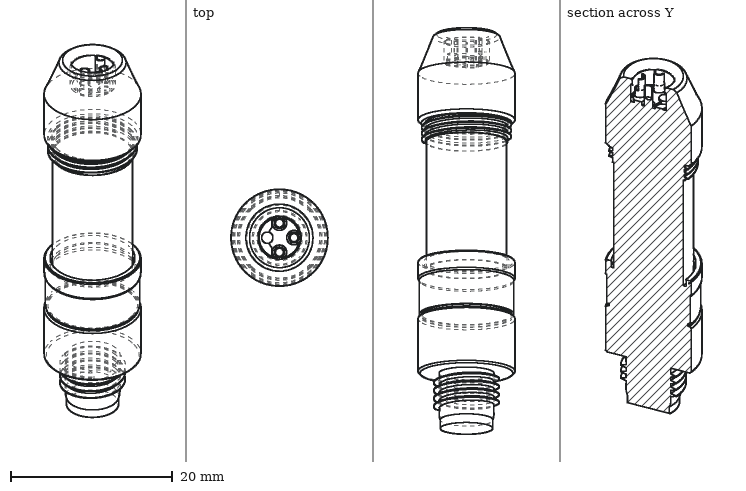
import cadquery as cq

TOTAL_HEIGHT = 50.0
BODY_RADIUS = 6.0
SHAFT_RADIUS = 4.95

TIP_RADIUS = 3.25
TIP_HEIGHT = 1.1
TAPER_MIDDLE_RADIUS = 3.35
TAPER_MIDDLE_Z = 1.4
TAPER_TOP_Z = 1.75
PLUG_RADIUS = 3.4

SLEEVE_BOTTOM_Z = 7.0
SLEEVE_TOP_Z = 14.2
SLEEVE_CHAMFER = 0.25

GROOVE_RADIUS = 5.55
COLLAR_RADIUS = 5.85
COLLAR_BOTTOM_Z = 14.5
COLLAR_TOP_Z = 18.8

RING_BOTTOM_Z = 19.05
RING_TOP_Z = 21.25
RING_CHAMFER = 0.15
GAP_RADIUS = 5.25
GAP_DEPTH = 1.0

SHOULDER_RADIUS = 5.1
SHOULDER_BOTTOM_Z = 36.4
CAP_BOTTOM_Z = 38.75
CAP_CHAMFER = 0.4
CAP_SIDE_TOP_Z = 45.1
CONE_BOTTOM_RADIUS = 5.75
CONE_BOTTOM_Z = 45.6
CONE_TOP_RADIUS = 4.15
CONE_TOP_Z = 49.65
TOP_FACE_RADIUS = 3.7

PLUG_THREAD_Z = 2.75
PLUG_THREAD_PITCH = 1.0
PLUG_THREAD_TURNS = 3.6
PLUG_THREAD_RADIUS = 4.05
PLUG_TOOTH_WIDTH = 0.65
CAP_THREAD_Z = 36.65
CAP_THREAD_PITCH = 0.75
CAP_THREAD_TURNS = 3.0
CAP_THREAD_RADIUS = 5.55
CAP_TOOTH_WIDTH = 0.45
CREST_WIDTH = 0.1
THREAD_OVERLAP = 0.1
THREAD_START_ANGLE = 90.0

ENTRY_RADIUS = 2.65
ENTRY_LIP_RADIUS = 0.35
CHAMBER_RADIUS = 2.8
CHAMBER_TOP_Z = TOTAL_HEIGHT - 0.95
CHAMBER_FLOOR_Z = TOTAL_HEIGHT - 3.15
MOAT_INNER_RADIUS = 2.5
MOAT_DEPTH = 0.35
CUP_ANGLES = (-90.0, 0.0, 90.0)
CUP_OFFSET = 1.8
CUP_SOCKET_RADIUS = 0.9
CUP_RADIUS = 0.65
CUP_BORE_RADIUS = 0.5
CUP_TOP_Z = TOTAL_HEIGHT - 0.6
CUP_BORE_DEPTH = 1.75
CUP_CONE_DEPTH = 0.4
CUP_SOCKET_DEPTH = 0.5
CUP_SOCKET_FLOOR_Z = CHAMBER_FLOOR_Z - CUP_SOCKET_DEPTH
PIN_OFFSET = 1.5
PIN_RADIUS = 0.7
PIN_RISE = 0.25
KEY_DEPTH = 0.25
KEY_INNER_X = -1.3
KEY_INNER_HALF_WIDTH = 0.7
KEY_OUTER_X = -0.95
KEY_OUTER_HALF_WIDTH = 1.25


def cylinder(radius, bottom_z, top_z):
    return cq.Workplane("XY", origin=(0, 0, bottom_z)).circle(radius).extrude(top_z - bottom_z)


def outer_body():
    """Half section in (radius, z), turned into the solid outer shape."""
    section = [
        (0, 0),
        (TIP_RADIUS, 0),
        (TIP_RADIUS, TIP_HEIGHT),
        (TAPER_MIDDLE_RADIUS, TAPER_MIDDLE_Z),
        (PLUG_RADIUS, TAPER_TOP_Z),
        (PLUG_RADIUS, SLEEVE_BOTTOM_Z),
        (BODY_RADIUS - SLEEVE_CHAMFER, SLEEVE_BOTTOM_Z),
        (BODY_RADIUS, SLEEVE_BOTTOM_Z + SLEEVE_CHAMFER),
        (BODY_RADIUS, SLEEVE_TOP_Z - SLEEVE_CHAMFER),
        (BODY_RADIUS - SLEEVE_CHAMFER, SLEEVE_TOP_Z),
        (GROOVE_RADIUS, SLEEVE_TOP_Z),
        (GROOVE_RADIUS, COLLAR_BOTTOM_Z),
        (COLLAR_RADIUS, COLLAR_BOTTOM_Z),
        (COLLAR_RADIUS, COLLAR_TOP_Z),
        (BODY_RADIUS, RING_BOTTOM_Z),
        (BODY_RADIUS, RING_TOP_Z - RING_CHAMFER),
        (BODY_RADIUS - RING_CHAMFER, RING_TOP_Z),
        (GAP_RADIUS, RING_TOP_Z),
        (GAP_RADIUS, RING_TOP_Z - GAP_DEPTH),
        (SHAFT_RADIUS, RING_TOP_Z - GAP_DEPTH),
        (SHAFT_RADIUS, SHOULDER_BOTTOM_Z),
        (SHOULDER_RADIUS, SHOULDER_BOTTOM_Z),
        (SHOULDER_RADIUS, CAP_BOTTOM_Z),
        (BODY_RADIUS - CAP_CHAMFER, CAP_BOTTOM_Z),
        (BODY_RADIUS, CAP_BOTTOM_Z + CAP_CHAMFER),
        (BODY_RADIUS, CAP_SIDE_TOP_Z),
        (CONE_BOTTOM_RADIUS, CONE_BOTTOM_Z),
        (CONE_TOP_RADIUS, CONE_TOP_Z),
        (TOP_FACE_RADIUS, TOTAL_HEIGHT),
        (0, TOTAL_HEIGHT),
    ]
    return cq.Workplane("XZ").polyline(section).close().revolve(360, (0, 0, 0), (0, 1, 0))


def thread(root_radius, crest_radius, tooth_width, pitch, turns, start_z):
    """Helical tooth with sloping flanks, sunk slightly into the root cylinder."""
    inner_radius = root_radius - THREAD_OVERLAP
    helix = cq.Wire.makeHelix(pitch, pitch * turns, inner_radius)
    tooth = (
        cq.Workplane("XZ")
        .moveTo(inner_radius, -tooth_width / 2)
        .lineTo(crest_radius, -CREST_WIDTH / 2)
        .lineTo(crest_radius, CREST_WIDTH / 2)
        .lineTo(inner_radius, tooth_width / 2)
        .close()
        .sweep(cq.Workplane(obj=helix), isFrenet=True)
    )
    return tooth.rotate((0, 0, 0), (0, 0, 1), THREAD_START_ANGLE).translate((0, 0, start_z))


def cable_entry():
    """Hollow with a rounded mouth, an undercut chamber, a moat and a key recess in the floor."""
    moat_floor_z = CHAMBER_FLOOR_Z - MOAT_DEPTH
    mouth_radius = ENTRY_RADIUS + ENTRY_LIP_RADIUS
    lip_bottom_z = TOTAL_HEIGHT - ENTRY_LIP_RADIUS
    arc_offset = ENTRY_LIP_RADIUS * 0.5 ** 0.5
    arc_middle = (mouth_radius - arc_offset, lip_bottom_z + arc_offset)
    hollow = (
        cq.Workplane("XZ")
        .moveTo(0, TOTAL_HEIGHT)
        .lineTo(mouth_radius, TOTAL_HEIGHT)
        .threePointArc(arc_middle, (ENTRY_RADIUS, lip_bottom_z))
        .lineTo(ENTRY_RADIUS, CHAMBER_TOP_Z)
        .lineTo(CHAMBER_RADIUS, CHAMBER_TOP_Z)
        .lineTo(CHAMBER_RADIUS, moat_floor_z)
        .lineTo(MOAT_INNER_RADIUS, moat_floor_z)
        .lineTo(MOAT_INNER_RADIUS, CHAMBER_FLOOR_Z)
        .lineTo(0, CHAMBER_FLOOR_Z)
        .close()
        .revolve(360, (0, 0, 0), (0, 1, 0))
    )
    key_outline = [
        (KEY_INNER_X, -KEY_INNER_HALF_WIDTH),
        (KEY_OUTER_X, -KEY_OUTER_HALF_WIDTH),
        (KEY_OUTER_X, -CHAMBER_RADIUS),
        (-CHAMBER_RADIUS, -CHAMBER_RADIUS),
        (-CHAMBER_RADIUS, CHAMBER_RADIUS),
        (KEY_OUTER_X, CHAMBER_RADIUS),
        (KEY_OUTER_X, KEY_OUTER_HALF_WIDTH),
        (KEY_INNER_X, KEY_INNER_HALF_WIDTH),
    ]
    key = cq.Workplane("XY", origin=(0, 0, CHAMBER_FLOOR_Z)).polyline(key_outline).close().extrude(-KEY_DEPTH)
    return hollow.union(key.intersect(cylinder(CHAMBER_RADIUS, CHAMBER_FLOOR_Z - KEY_DEPTH, CHAMBER_FLOOR_Z)))


def solder_cup(angle):
    """Upright contact at an angle about Z, bored to a cone and open on its outward half."""
    bore_bottom_z = CUP_TOP_Z - CUP_BORE_DEPTH
    post = cylinder(CUP_RADIUS, CUP_SOCKET_FLOOR_Z, CUP_TOP_Z)
    bore = (
        cq.Workplane("XZ")
        .moveTo(0, CUP_TOP_Z)
        .lineTo(CUP_BORE_RADIUS, CUP_TOP_Z)
        .lineTo(CUP_BORE_RADIUS, bore_bottom_z)
        .lineTo(0, bore_bottom_z - CUP_CONE_DEPTH)
        .close()
        .revolve(360, (0, 0, 0), (0, 1, 0))
    )
    opening = cq.Workplane("XY", origin=(CUP_RADIUS, 0, bore_bottom_z)).rect(2 * CUP_RADIUS, 2 * CUP_RADIUS)
    cup = post.cut(bore).cut(opening.extrude(CUP_BORE_DEPTH))
    return cup.translate((CUP_OFFSET, 0, 0)).rotate((0, 0, 0), (0, 0, 1), angle)


def cup_socket(angle):
    """Clearance pocket in the chamber floor around one solder cup."""
    socket = cylinder(CUP_SOCKET_RADIUS, CUP_SOCKET_FLOOR_Z, CHAMBER_FLOOR_Z)
    return socket.translate((CUP_OFFSET, 0, 0)).rotate((0, 0, 0), (0, 0, 1), angle)


result = outer_body()
result = result.union(thread(
    PLUG_RADIUS, PLUG_THREAD_RADIUS, PLUG_TOOTH_WIDTH, PLUG_THREAD_PITCH, PLUG_THREAD_TURNS, PLUG_THREAD_Z
))
result = result.union(thread(
    SHOULDER_RADIUS, CAP_THREAD_RADIUS, CAP_TOOTH_WIDTH, CAP_THREAD_PITCH, CAP_THREAD_TURNS, CAP_THREAD_Z
))
result = result.cut(cable_entry())
for cup_angle in CUP_ANGLES:
    result = result.cut(cup_socket(cup_angle))
    result = result.union(solder_cup(cup_angle))
pin = cylinder(PIN_RADIUS, CHAMBER_FLOOR_Z - KEY_DEPTH, CHAMBER_FLOOR_Z + PIN_RISE)
result = result.union(pin.translate((-PIN_OFFSET, 0, 0)))